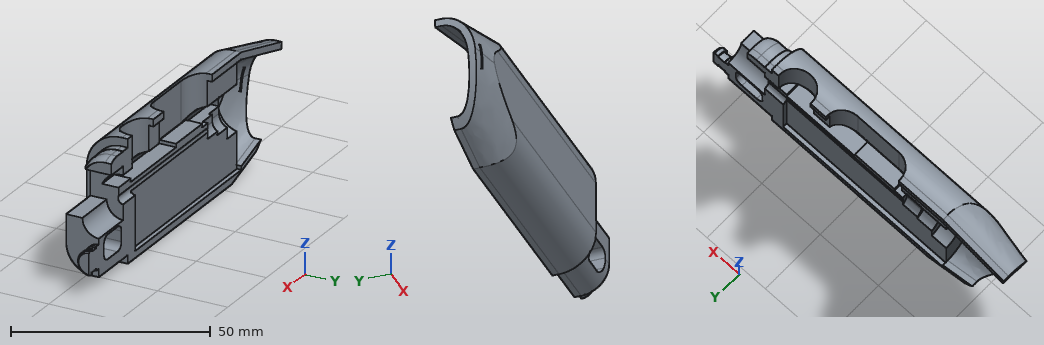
import cadquery as cq
import math


body_height = 34.4
body_depth = 11.7
body_corner = 10.0
body_end = 79.5

nose_tip_top = (0.0, 28.8)
nose_tip_bottom = (13.2, 4.0)
nose_tip_depth = 10.6
nose_top_break = (20.9, body_height)
nose_bottom_break = (25.9, 0.0)
nose_break_depth = 15.4
nose_widest = 0.63
bottom_run = 2.3
nose_front_overrun = -0.3
nose_rear_overrun = 1.1
nose_clear_x = -19.9
mouth_mid = (6.1, 11.9)

slit_center = (5.4, 18.7)
slit_length = 6.2
slit_width = 0.6
slit_angle = -69.0

wall = 2.0
cavity_end = 20.9
bore_axis_z = 18.8
pocket_radius = 6.7
pocket_end = 25.9
counterbores = ((3.7, 30.9), (2.8, 35.8))
wire_bore_diameter = 2.9
floor_low = 20.7
floor_high = 21.7
raised_floor_start = 38.7
raised_floor_end = 52.3
rear_floor_start = 75.7
joint_recess = 1.3

window_radius = 5.5
window_depth = 5.9
long_window_start = 36.0
long_window_end = 61.0
round_window_center = 71.8

step_in = 2.4
band_end = 81.9
tail_end = 94.5
tail_top = 17.7
tail_depth = body_depth - step_in
tail_corner = body_corner - step_in
trough_radius = 4.7
tail_window_center = (87.3, 9.0)
tail_window_size = (9.1, 6.9)
tail_window_corner = 2.0

tongue_bottom = 27.9
tongue_step = 0.1
tongue_round_start = 84.9
tongue_end = 88.0
tongue_end_drop = 1.0

pin_axis_z = 8.1
pin_radius = 3.4
neck_radius = 2.9
collar_end = 95.7
flange_start = 98.0
pin_end = 99.6
flange_chamfer = 0.4


def blend(start, end, t):
    """Linear value between start (t = 0) and end (t = 1)."""
    return start + (end - start) * t


def prism(inset, start, end):
    """Body section drawn in by inset, running along X from start to end."""
    depth = body_depth - inset
    corner = body_corner - inset
    flat = depth - corner
    diagonal = corner * math.sqrt(0.5)
    low = inset
    high = body_height - inset
    return (
        cq.Workplane("YZ", origin=(start, 0, 0))
        .moveTo(0, low)
        .lineTo(-flat, low)
        .threePointArc((-flat - diagonal, low + corner - diagonal), (-depth, low + corner))
        .lineTo(-depth, high - corner)
        .threePointArc((-flat - diagonal, high - corner + diagonal), (-flat, high))
        .lineTo(0, high)
        .close()
        .extrude(end - start)
    )


def nose_top(t):
    """Top point of the nose section at t, from 0 at the mouth to 1 at the top break."""
    return (
        blend(nose_tip_top[0], nose_top_break[0], t),
        blend(nose_tip_top[1], nose_top_break[1], t),
    )


def nose_bottom(t):
    return (
        blend(nose_tip_bottom[0], nose_bottom_break[0], bottom_run * t),
        blend(nose_tip_bottom[1], nose_bottom_break[1], bottom_run * t),
    )


def nose_wire(t, inset):
    """Half-oval nose section at t, drawn in by inset."""
    top = nose_top(t)
    bottom = nose_bottom(t)
    up = cq.Vector(top[0] - bottom[0], 0, top[1] - bottom[1])
    outward = cq.Vector(0, -1, 0)
    plane = cq.Plane(origin=(bottom[0], 0, bottom[1]), xDir=outward, normal=outward.cross(up))
    low = inset
    high = up.Length - inset
    widest = blend(low, high, nose_widest)
    flat = body_depth - body_corner
    bulge = blend(nose_tip_depth, nose_break_depth, t) - inset - flat
    return (
        cq.Workplane(plane)
        .moveTo(0, low)
        .lineTo(flat, low)
        .ellipseArc(bulge, widest - low, -90, 0, startAtCurrent=True)
        .ellipseArc(bulge, high - widest, 0, 90, startAtCurrent=True)
        .lineTo(0, high)
        .close()
        .val()
    )


def tapered_body(inset):
    """Body section narrowing through the nose, all drawn in by inset."""
    front = nose_wire(nose_front_overrun, inset)
    rear = nose_wire(nose_rear_overrun, inset)
    taper = cq.Workplane(cq.Solid.makeLoft([front, rear], True))
    rear_top = nose_top(nose_rear_overrun)
    rear_bottom = nose_bottom(nose_rear_overrun)
    front_zone = (
        cq.Workplane("XZ")
        .polyline([rear_top, rear_bottom, (nose_clear_x, rear_bottom[1]), (nose_clear_x, rear_top[1])])
        .close()
        .extrude(body_depth)
    )
    return prism(inset, nose_clear_x, body_end).cut(front_zone.cut(taper))


def box(x_range, depth_range, z_range):
    """Box between two X, two depths below the split face and two Z."""
    return cq.Workplane("XY").box(
        x_range[1] - x_range[0],
        depth_range[1] - depth_range[0],
        z_range[1] - z_range[0],
        centered=False,
    ).translate((x_range[0], -depth_range[1], z_range[0]))


def rod(radius, axis_z, start, end):
    """Round bar along X, centred on the split face."""
    return cq.Workplane("YZ", origin=(start, 0, axis_z)).circle(radius).extrude(end - start)


def outer_shell():
    side_outline = (
        cq.Workplane("XZ")
        .moveTo(*nose_tip_top)
        .lineTo(*nose_top_break)
        .lineTo(body_end, body_height)
        .lineTo(body_end, 0)
        .lineTo(*nose_bottom_break)
        .lineTo(*nose_tip_bottom)
        .threePointArc(mouth_mid, nose_tip_top)
        .close()
        .extrude(body_depth)
    )
    return tapered_body(0).intersect(side_outline)


def tail():
    """Stepped-in band and the lower block behind it."""
    below_top = box((band_end, tail_end), (0, tail_depth), (0, tail_top))
    block = prism(step_in, band_end, tail_end).intersect(below_top)
    trough = rod(trough_radius, tail_top, band_end, tail_end)
    block = block.cut(trough)
    window = (
        cq.Workplane("XZ", origin=(tail_window_center[0], 0, tail_window_center[1]))
        .rect(*tail_window_size)
        .extrude(tail_depth)
        .edges("|Y")
        .fillet(tail_window_corner)
    )
    return prism(step_in, body_end, band_end).union(block.cut(window))


def tongue():
    """Continuation of the band's upper corner, slightly smaller, with its free end rounded down."""
    corner_depth = body_depth - body_corner
    corner_z = body_height - body_corner
    radius = tail_corner - tongue_step
    length = tongue_end - tongue_round_start
    round_radius = (length**2 + tongue_end_drop**2) / (2 * tongue_end_drop)
    half_angle = math.asin(length / round_radius) / 2
    profile = (
        cq.Workplane("XY", origin=(0, -corner_depth, corner_z))
        .moveTo(band_end, 0)
        .lineTo(band_end, -radius)
        .lineTo(tongue_round_start, -radius)
        .threePointArc(
            (
                tongue_round_start + round_radius * math.sin(half_angle),
                -radius + round_radius * (1 - math.cos(half_angle)),
            ),
            (tongue_end, -radius + tongue_end_drop),
        )
        .lineTo(tongue_end, 0)
        .close()
    )
    turned = profile.revolve(360, (0, 0, 0), (1, 0, 0))
    flat_face = turned.intersect(
        box((band_end, tongue_end), (corner_depth, body_depth), (corner_z, body_height))
    )
    flat_part = flat_face.faces(">Y").wires().toPending().workplane().extrude(corner_depth)
    limits = box((band_end, tongue_end), (0, body_depth), (tongue_bottom, body_height))
    return flat_face.union(flat_part).intersect(limits)


def pin():
    profile = (
        cq.Workplane("XZ", origin=(0, 0, pin_axis_z))
        .moveTo(tail_end, 0)
        .lineTo(tail_end, pin_radius)
        .lineTo(collar_end, pin_radius)
        .lineTo(collar_end, neck_radius)
        .lineTo(flange_start, neck_radius)
        .lineTo(flange_start, pin_radius)
        .lineTo(pin_end - flange_chamfer, pin_radius)
        .lineTo(pin_end, pin_radius - flange_chamfer)
        .lineTo(pin_end, 0)
        .close()
    )
    lower_half = box((tail_end, pin_end), (0, body_depth), (0, body_height))
    return profile.revolve(360, (0, 0, 0), (1, 0, 0)).intersect(lower_half)


def slit():
    return (
        cq.Workplane("XZ", origin=(slit_center[0], 0, slit_center[1]))
        .transformed(rotate=(0, 0, slit_angle))
        .rect(slit_length, slit_width)
        .extrude(body_depth)
    )


def channel(start, end, floor):
    """Part of the pocket bore above a flat floor."""
    above_floor = box((start, end), (0, body_depth), (floor, body_height))
    return rod(pocket_radius, bore_axis_z, start, end).intersect(above_floor)


def inner_space():
    """Nose cavity, stepped bores, floored channel and the recess along the split face."""
    nose_limits = box((nose_clear_x, cavity_end), (0, body_depth), (0, body_height))
    space = tapered_body(wall).intersect(nose_limits)
    space = space.union(rod(pocket_radius, bore_axis_z, cavity_end, pocket_end))
    start = pocket_end
    for radius, end in counterbores:
        space = space.union(rod(radius, bore_axis_z, start, end))
        space = space.union(box((start, end), (0, radius), (bore_axis_z, floor_high)))
        start = end
    floor_steps = (
        (pocket_end, raised_floor_start, floor_low),
        (raised_floor_start, raised_floor_end, floor_high),
        (raised_floor_end, rear_floor_start, floor_low),
        (rear_floor_start, band_end, floor_high),
    )
    for step_start, step_end, floor in floor_steps:
        space = space.union(channel(step_start, step_end, floor))
    wire_radius = wire_bore_diameter / 2
    space = space.union(rod(wire_radius, bore_axis_z, pocket_end, band_end))
    space = space.union(box((pocket_end, band_end), (0, joint_recess), (bore_axis_z, floor_high)))
    recess_limits = box((cavity_end, rear_floor_start), (0, joint_recess), (0, body_height))
    return space.union(prism(wall, cavity_end, rear_floor_start).intersect(recess_limits))


def top_windows():
    """Long and round finger openings cut straight down to the channel floor."""
    center_y = window_radius - window_depth
    long_center = (long_window_start + long_window_end) / 2
    long_length = long_window_end - long_window_start
    height = body_height - floor_high
    long_window = (
        cq.Workplane("XY", origin=(long_center, center_y, floor_high))
        .slot2D(long_length, 2 * window_radius)
        .extrude(height)
    )
    round_window = (
        cq.Workplane("XY", origin=(round_window_center, center_y, floor_high))
        .circle(window_radius)
        .extrude(height)
    )
    return long_window.union(round_window)


result = outer_shell().union(tail()).union(tongue())
result = result.cut(inner_space()).cut(slit()).cut(top_windows())
result = result.union(pin())